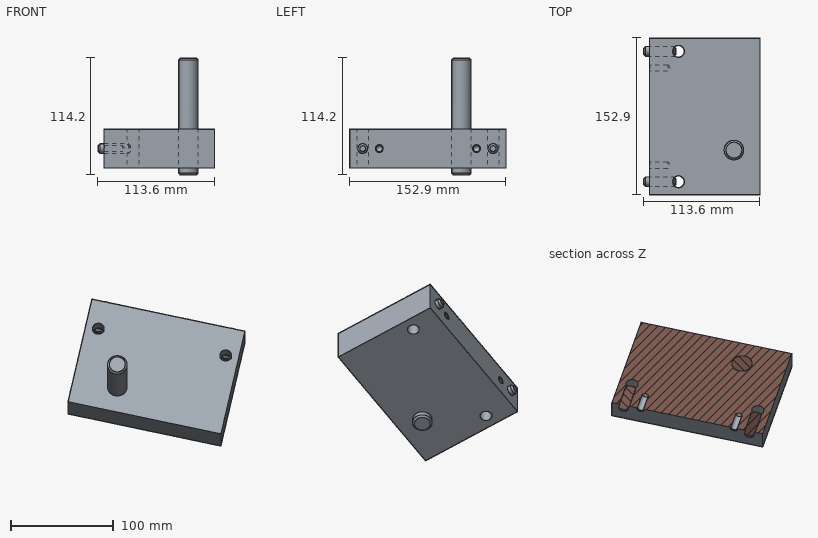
import cadquery as cq
import math

block_length = 108.1
block_width = 152.9
block_height = 38.2
mid_height = block_height / 2

rod_diameter = 19.1
rod_length = 114.2
rod_chamfer = 1.8
rod_drop = 6.7
rod_x = 82.5
rod_y = 43.7

pin_diameter = 9.6
pin_length = 31.3
pin_projection = 5.5
pin_chamfer = 2.0
pin_edge_distance = 12.8
pin_rows = (pin_edge_distance, block_width - pin_edge_distance)
cross_hole_diameter = 11.3
cross_hole_x = 28.5

screw_hole_diameter = 6.1
screw_hole_depth = 18.3
countersink_diameter = 7.6
drill_point_angle = 118.0
screw_edge_distance = 29.0
screw_rows = (screw_edge_distance, block_width - screw_edge_distance)


def make_rod():
    """Rod with both ends chamfered."""
    return (
        cq.Workplane("XY", origin=(rod_x, rod_y, -rod_drop))
        .circle(rod_diameter / 2)
        .extrude(rod_length)
        .faces("<Z or >Z")
        .chamfer(rod_chamfer)
    )


def make_pin(y):
    """Pin along X with both ends chamfered."""
    return (
        cq.Workplane("YZ", origin=(-pin_projection, y, mid_height))
        .circle(pin_diameter / 2)
        .extrude(pin_length)
        .faces("<X or >X")
        .chamfer(pin_chamfer)
    )


def make_screw_hole(y):
    """Cutter for one screw hole, as a profile revolved about the hole axis."""
    hole_radius = screw_hole_diameter / 2
    mouth_radius = countersink_diameter / 2
    countersink_depth = mouth_radius - hole_radius
    point_depth = hole_radius / math.tan(math.radians(drill_point_angle / 2))
    return (
        cq.Workplane("XY", origin=(0, y, mid_height))
        .moveTo(0, 0)
        .lineTo(0, mouth_radius)
        .lineTo(countersink_depth, hole_radius)
        .lineTo(screw_hole_depth, hole_radius)
        .lineTo(screw_hole_depth + point_depth, 0)
        .close()
        .revolve(360, (0, 0), (1, 0))
    )


def make_block():
    """Block with the rod bore, pin bores, cross holes and screw holes."""
    block = cq.Workplane("XY").box(block_length, block_width, block_height, centered=False)
    rod_bore = cq.Workplane("XY").center(rod_x, rod_y).circle(rod_diameter / 2).extrude(block_height)
    block = block.cut(rod_bore)
    for y in pin_rows:
        pin_bore = cq.Workplane("YZ", origin=(0, y, mid_height)).circle(pin_diameter / 2).extrude(cross_hole_x)
        cross_hole = (
            cq.Workplane("XY").center(cross_hole_x, y).circle(cross_hole_diameter / 2).extrude(block_height)
        )
        block = block.cut(pin_bore).cut(cross_hole)
    for y in screw_rows:
        block = block.cut(make_screw_hole(y))
    return block


block = make_block()
rod = make_rod()
pins = [make_pin(y) for y in pin_rows]

result = cq.Compound.makeCompound([block.val(), rod.val(), *[pin.val() for pin in pins]])